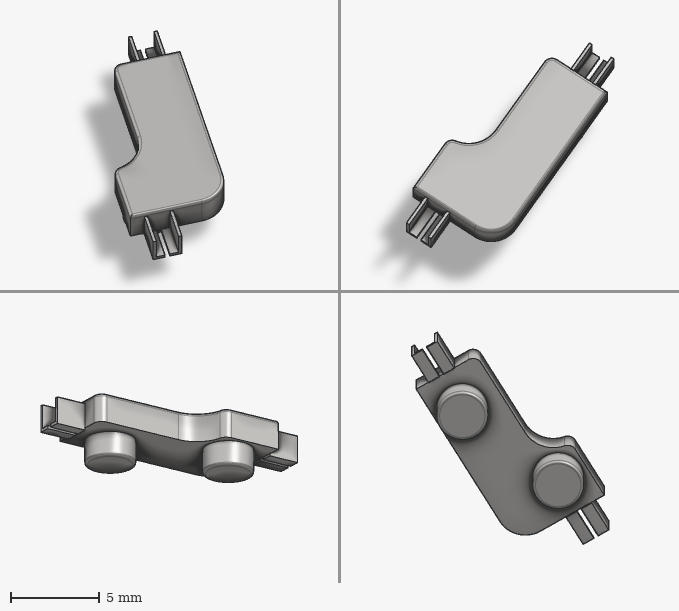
import cadquery as cq
import math

total_length = 14.7
total_height = 3.2

lead_length = 1.88
body_length = total_length - 2 * lead_length
body_width = 5.9
body_height = 1.73
arm_width = 3.97
arm_edge_length = 5.41
outer_corner_radius = 1.68
small_corner_radius = 0.51
inner_curve_radius = 1.85
top_rounding = 0.18

lead_thickness = 0.19
lead_pair_width = 1.69
lead_gap = 0.28
lead_height = 1.62
lead_top_drop = 0.25
pair_center_inset = 1.68

peg_diameter = 2.9
peg_end_inset = 2.3
peg_rounding = 0.16

left = -body_length / 2
right = body_length / 2
back = body_width / 2
front = -body_width / 2
pair_offset = back - pair_center_inset


def midpoint_on_arc(center, radius, start_angle, end_angle):
    angle = math.radians((start_angle + end_angle) / 2)
    return (center[0] + radius * math.cos(angle), center[1] + radius * math.sin(angle))


def make_body():
    arm_front = back - arm_width
    curve_center = (left + arm_edge_length, arm_front - inner_curve_radius)
    corner_center_y = front + small_corner_radius
    center_distance = inner_curve_radius + small_corner_radius
    rise = corner_center_y - curve_center[1]
    tangent_angle = math.degrees(math.asin(rise / center_distance))
    run = center_distance * math.cos(math.radians(tangent_angle))
    corner_center = (curve_center[0] + run, corner_center_y)
    tangent_point = (
        curve_center[0] + inner_curve_radius * run / center_distance,
        curve_center[1] + inner_curve_radius * rise / center_distance,
    )
    arm_corner_center = (left + small_corner_radius, arm_front + small_corner_radius)
    outer_center = (right - outer_corner_radius, back - outer_corner_radius)

    return (
        cq.Workplane("XY")
        .moveTo(left, back)
        .lineTo(left, arm_corner_center[1])
        .threePointArc(
            midpoint_on_arc(arm_corner_center, small_corner_radius, 180, 270),
            (arm_corner_center[0], arm_front),
        )
        .lineTo(curve_center[0], arm_front)
        .threePointArc(
            midpoint_on_arc(curve_center, inner_curve_radius, 90, tangent_angle),
            tangent_point,
        )
        .threePointArc(
            midpoint_on_arc(corner_center, small_corner_radius, 180 + tangent_angle, 270),
            (corner_center[0], front),
        )
        .lineTo(right, front)
        .lineTo(right, outer_center[1])
        .threePointArc(
            midpoint_on_arc(outer_center, outer_corner_radius, 0, 90),
            (outer_center[0], back),
        )
        .close()
        .extrude(body_height)
        .faces(">Z")
        .edges()
        .fillet(top_rounding)
    )


def make_lead_pair(start_x, center_y):
    """Two facing L-shaped leads running along +X from start_x."""
    foot_length = (lead_pair_width - lead_gap) / 2
    half_width = lead_pair_width / 2
    top = body_height - lead_top_drop
    bottom = top - lead_height
    lead = (
        cq.Workplane("YZ", origin=(start_x, center_y, bottom))
        .moveTo(half_width, 0)
        .lineTo(half_width, lead_height)
        .lineTo(half_width - lead_thickness, lead_height)
        .lineTo(half_width - lead_thickness, lead_thickness)
        .lineTo(half_width - foot_length, lead_thickness)
        .lineTo(half_width - foot_length, 0)
        .close()
        .extrude(lead_length)
    )
    return lead.union(lead.mirror("XZ", (0, center_y, 0)))


def make_peg(center_x, center_y):
    return (
        cq.Workplane("XY", origin=(center_x, center_y, 0))
        .circle(peg_diameter / 2)
        .extrude(body_height - total_height)
        .faces("<Z")
        .edges()
        .fillet(peg_rounding)
    )


result = make_body()
for side, lead_start in ((-1, left - lead_length), (1, right)):
    center_y = -side * pair_offset
    result = result.union(make_lead_pair(lead_start, center_y))
    result = result.union(make_peg(side * (right - peg_end_inset), center_y))